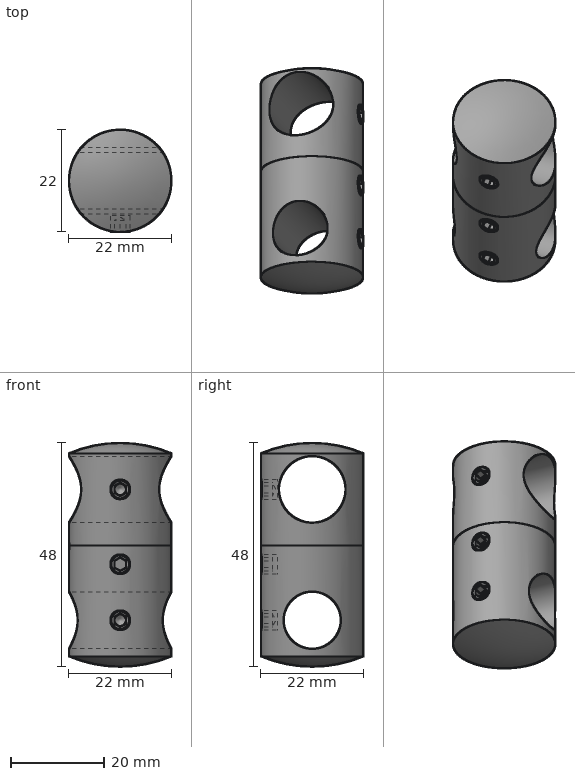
import cadquery as cq
import math

total_height = 48.0
body_diameter = 22.0
body_radius = body_diameter / 2
dome_height = 2.25
joint_z = 26.0

bore_offset = 14.0
upper_bore_z = total_height / 2 + bore_offset
lower_bore_z = total_height / 2 - bore_offset
upper_bore_diameter = 14.2
lower_bore_diameter = 12.2

screw_diameter = 4.2
screw_length = 3.5
screw_chamfer = 0.2
socket_flats = 2.5
socket_depth = 2.5
drill_point_angle = 120.0
joint_screw_z = 22.0


def domed_cylinder():
    """Full-height cylinder closed by a shallow spherical cap at each end."""
    sphere_radius = (body_radius**2 + dome_height**2) / (2 * dome_height)
    half_angle = math.asin(body_radius / sphere_radius) / 2
    mid_radius = sphere_radius * math.sin(half_angle)
    mid_drop = sphere_radius * (1 - math.cos(half_angle))
    return (
        cq.Workplane("XZ")
        .moveTo(0, 0)
        .threePointArc((mid_radius, mid_drop), (body_radius, dome_height))
        .lineTo(body_radius, total_height - dome_height)
        .threePointArc((mid_radius, total_height - mid_drop), (0, total_height))
        .close()
        .revolve(360, (0, 0, 0), (0, 1, 0))
    )


def slab(bottom_z, top_z):
    """Block wider than the body, used to keep one height range of it."""
    return (
        cq.Workplane("XY")
        .workplane(offset=bottom_z)
        .rect(2 * body_diameter, 2 * body_diameter)
        .extrude(top_z - bottom_z)
    )


def cross_bore(bore_z, diameter):
    """Cutter for a bore that passes through the body along X."""
    return (
        cq.Workplane("YZ")
        .center(0, bore_z)
        .circle(diameter / 2)
        .extrude(body_radius, both=True)
    )


def screw_face(screw_z):
    """Plane of the outer face of a screw, facing -Y."""
    return cq.Workplane("XZ", origin=(0, -body_radius, screw_z))


def screw_blank(screw_z):
    """Plain cylinder going inward along +Y: the screw blank and the cutter for its blind hole."""
    return screw_face(screw_z).circle(screw_diameter / 2).extrude(-screw_length)


def make_upper_half():
    """Half above the joint, with one cross bore and one blind screw hole."""
    return (
        domed_cylinder()
        .intersect(slab(joint_z, total_height))
        .cut(cross_bore(upper_bore_z, upper_bore_diameter))
        .cut(screw_blank(upper_bore_z))
    )


def make_lower_half():
    """Half below the joint, with one cross bore and two blind screw holes."""
    return (
        domed_cylinder()
        .intersect(slab(0, joint_z))
        .cut(cross_bore(lower_bore_z, lower_bore_diameter))
        .cut(screw_blank(lower_bore_z))
        .cut(screw_blank(joint_screw_z))
    )


def drill_point(screw_z):
    """Cone below the hexagon, its rim touching the six flats."""
    cone_radius = socket_flats / 2
    cone_depth = cone_radius / math.tan(math.radians(drill_point_angle / 2))
    cone = cq.Solid.makeCone(
        cone_radius,
        0,
        cone_depth,
        pnt=cq.Vector(0, socket_depth - body_radius, screw_z),
        dir=cq.Vector(0, 1, 0),
    )
    return cq.Workplane(obj=cone)


def make_set_screw(screw_z, has_drill_point):
    """Headless screw with a chamfered outer rim and a hexagon socket."""
    hexagon_corners = socket_flats / math.cos(math.pi / 6)
    socket = (
        screw_face(screw_z)
        .transformed(rotate=(0, 0, 90))
        .polygon(6, hexagon_corners)
        .extrude(-socket_depth)
    )
    screw = screw_blank(screw_z).faces("<Y").chamfer(screw_chamfer).cut(socket)
    if has_drill_point:
        screw = screw.cut(drill_point(screw_z))
    return screw


upper_half = make_upper_half()
lower_half = make_lower_half()

set_screws = []
for screw_z, has_drill_point in (
    (upper_bore_z, True),
    (joint_screw_z, False),
    (lower_bore_z, True),
):
    set_screws.append(make_set_screw(screw_z, has_drill_point).solids().val())

result = cq.Compound.makeCompound([upper_half.solids().val(), lower_half.solids().val(), *set_screws])